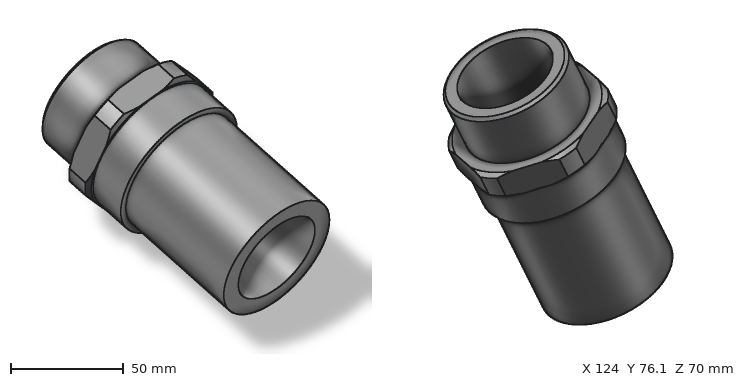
import cadquery as cq
import math

total_length = 124.0
hex_start = 26.9
hex_width = 13.6
collar_start = hex_start + hex_width
collar_end = 58.9

spigot_diameter = 59.8
collar_diameter = 69.2
tube_diameter = 63.0
bore_diameter = 45.6

hex_across_flats = 70.0
hex_corner_diameter = 76.1
hex_face_diameter = 71.4
hex_bevel_width = 1.5

spigot_chamfer = 1.5


def cylinder(start, end, diameter):
    """Round bar along X between two axial stations."""
    return cq.Workplane("YZ", origin=(start, 0, 0)).circle(diameter / 2).extrude(end - start)


def bevelled_hexagon():
    """Wrench hexagon with flats facing +Z and -Z, trimmed by a disc with conical rims."""
    sharp_corner_radius = hex_across_flats / 2 / math.cos(math.pi / 6)
    corners = [
        (sharp_corner_radius * math.cos(i * math.pi / 3), sharp_corner_radius * math.sin(i * math.pi / 3))
        for i in range(6)
    ]
    prism = cq.Workplane("YZ", origin=(hex_start, 0, 0)).polyline(corners).close().extrude(hex_width)
    face_radius = hex_face_diameter / 2
    corner_radius = hex_corner_diameter / 2
    trimming_disc = (
        cq.Workplane("XY")
        .moveTo(hex_start, 0)
        .lineTo(hex_start, face_radius)
        .lineTo(hex_start + hex_bevel_width, corner_radius)
        .lineTo(collar_start - hex_bevel_width, corner_radius)
        .lineTo(collar_start, face_radius)
        .lineTo(collar_start, 0)
        .close()
        .revolve(360, (0, 0, 0), (1, 0, 0))
    )
    return prism.intersect(trimming_disc)


spigot = cylinder(0, hex_start, spigot_diameter).faces("<X").chamfer(spigot_chamfer)
collar = cylinder(collar_start, collar_end, collar_diameter)
tube = cylinder(collar_end, total_length, tube_diameter)
bore = cylinder(0, total_length, bore_diameter)

result = spigot.union(bevelled_hexagon()).union(collar).union(tube).cut(bore)